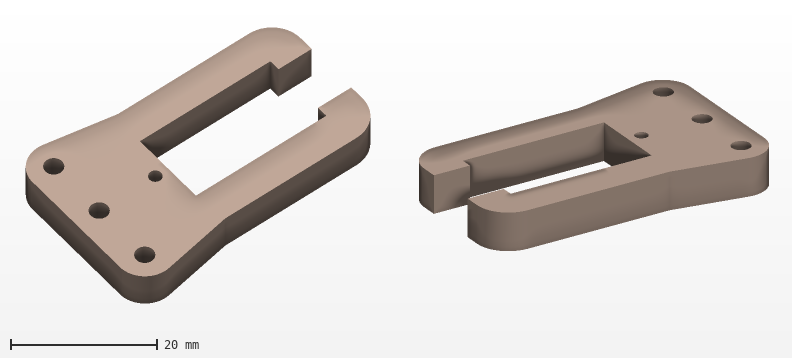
import cadquery as cq
import math

thickness = 5.85
length = 44.55
arm_half_width = 11.8
arm_corner_radius = 5.0

bottom_edge_half_width = 10.0
base_half_width = 13.97
base_corner_radius = 4.42
flare_top_y = 16.65

slot_width = 12.3
slot_floor_y = 16.0
mouth_width = 8.7
lip_length = 5.8

mount_hole_diameter = 2.9
mount_hole_spacing = 10.0
mount_hole_y = 4.0
pilot_hole_diameter = 2.0
pilot_hole_y = 13.8

corner_center_x = base_half_width - base_corner_radius
corner_center_y = math.sqrt(base_corner_radius**2 - (bottom_edge_half_width - corner_center_x) ** 2)


def corner_point(angle):
    """Point on the right base corner arc, angle in radians from +X."""
    return (
        corner_center_x + base_corner_radius * math.cos(angle),
        corner_center_y + base_corner_radius * math.sin(angle),
    )


def flank_tangent_angle():
    """Angle on the corner arc where the tapered flank meets it tangentially."""
    run = arm_half_width - corner_center_x
    rise = flare_top_y - corner_center_y
    return math.atan2(rise, run) - math.acos(base_corner_radius / math.hypot(run, rise))


def mirrored(point):
    """Same point on the left half of the plate."""
    return (-point[0], point[1])


def make_plate():
    bottom_end = (bottom_edge_half_width, 0)
    corner_middle = corner_point(-math.pi / 4)
    flank_start = corner_point(flank_tangent_angle())
    flank_end = (arm_half_width, flare_top_y)
    arm_tip = (arm_half_width, length)
    outline = (
        cq.Workplane("XY")
        .moveTo(*mirrored(bottom_end))
        .lineTo(*bottom_end)
        .threePointArc(corner_middle, flank_start)
        .lineTo(*flank_end)
        .lineTo(*arm_tip)
        .lineTo(*mirrored(arm_tip))
        .lineTo(*mirrored(flank_end))
        .lineTo(*mirrored(flank_start))
        .threePointArc(mirrored(corner_middle), mirrored(bottom_end))
        .close()
    )
    plate = outline.extrude(thickness)
    return plate.edges("|Z and >Y").fillet(arm_corner_radius)


def cut_slot(plate):
    lip_y = length - lip_length
    slot = (
        cq.Workplane("XY")
        .rect(slot_width, lip_y - slot_floor_y)
        .extrude(thickness)
        .translate((0, (slot_floor_y + lip_y) / 2, 0))
    )
    mouth = (
        cq.Workplane("XY")
        .rect(mouth_width, lip_length)
        .extrude(thickness)
        .translate((0, lip_y + lip_length / 2, 0))
    )
    return plate.cut(slot).cut(mouth)


def drill_holes(plate):
    mount_points = [(i * mount_hole_spacing, mount_hole_y) for i in (-1, 0, 1)]
    mount_holes = cq.Workplane("XY").pushPoints(mount_points).circle(mount_hole_diameter / 2).extrude(thickness)
    pilot_hole = cq.Workplane("XY").center(0, pilot_hole_y).circle(pilot_hole_diameter / 2).extrude(thickness)
    return plate.cut(mount_holes).cut(pilot_hole)


result = drill_holes(cut_slot(make_plate()))